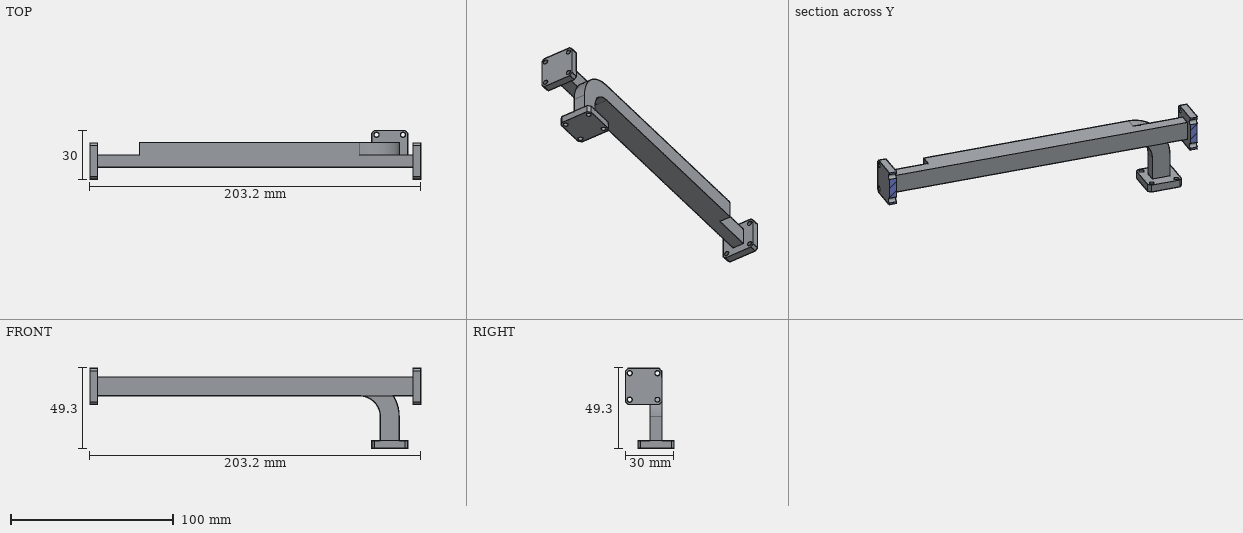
import cadquery as cq


main_length = 203.2
arm_inset_from_end = 19.05
arm_depth = 38.1
step_inset_from_end = 30.48

guide_height = 11.684
guide_width = 7.62

bend_inner_radius = 12.7
bend_outer_radius = bend_inner_radius + guide_height

flange_size = 22.352
flange_thickness = 4.826
flange_corner_chamfer = 1.75
bolt_hole_diameter = 2.95
bolt_pitch_across_width = 17.018
bolt_pitch_across_height = 16.256

arm_offset_y = guide_width
end_x = main_length / 2
arm_x = end_x - arm_inset_from_end
arm_outer_x = arm_x + guide_height / 2
arm_inner_x = arm_x - guide_height / 2
bend_start_x = arm_outer_x - bend_outer_radius
guide_top_z = guide_height / 2
guide_bottom_z = -guide_height / 2
bend_end_z = guide_top_z - bend_outer_radius
step_x = -end_x + step_inset_from_end


def make_flange(base_plane):
    """Square drilled flange, grown along the plane normal; plane x follows the guide height."""
    plate = (
        cq.Workplane(base_plane)
        .rect(flange_size, flange_size)
        .extrude(flange_thickness)
        .edges(cq.selectors.ParallelDirSelector(base_plane.zDir))
        .chamfer(flange_corner_chamfer)
    )
    bolt_holes = (
        cq.Workplane(base_plane)
        .rect(bolt_pitch_across_height, bolt_pitch_across_width, forConstruction=True)
        .vertices()
        .circle(bolt_hole_diameter / 2)
        .extrude(flange_thickness)
    )
    return plate.cut(bolt_holes)


def make_main_guide():
    return cq.Workplane("XY").box(main_length - 2 * flange_thickness, guide_width, guide_height)


def make_coupled_guide():
    """Straight run beside the main guide, a quarter bend, then the arm going down."""
    side_profile = (
        cq.Workplane("XZ")
        .moveTo(step_x, guide_top_z)
        .lineTo(bend_start_x, guide_top_z)
        .radiusArc((arm_outer_x, bend_end_z), bend_outer_radius)
        .lineTo(arm_outer_x, -arm_depth + flange_thickness)
        .lineTo(arm_inner_x, -arm_depth + flange_thickness)
        .lineTo(arm_inner_x, bend_end_z)
        .radiusArc((bend_start_x, guide_bottom_z), -bend_inner_radius)
        .lineTo(step_x, guide_bottom_z)
        .close()
    )
    return side_profile.extrude(guide_width / 2, both=True).translate((0, arm_offset_y, 0))


left_plane = cq.Plane(origin=(-end_x, 0, 0), xDir=(0, 0, 1), normal=(1, 0, 0))
right_plane = cq.Plane(origin=(end_x, 0, 0), xDir=(0, 0, 1), normal=(-1, 0, 0))
bottom_plane = cq.Plane(origin=(arm_x, arm_offset_y, -arm_depth), xDir=(1, 0, 0), normal=(0, 0, 1))

result = make_main_guide().union(make_coupled_guide())
for plane in (left_plane, right_plane, bottom_plane):
    result = result.union(make_flange(plane))